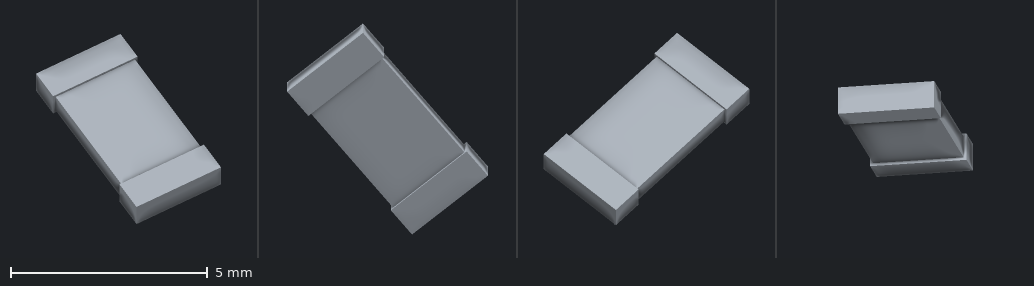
import cadquery as cq

length = 5.0
width = 2.5
height = 0.71

terminal_length = 0.85
step = 0.075

body_length = length - 2 * terminal_length


def make_body():
    """Plain block that fills the space between the terminals."""
    return cq.Workplane("XY").box(body_length, width - 2 * step, height - 2 * step)


def make_terminal(side):
    """Block against one end of the body; side is -1 for -X and +1 for +X."""
    center_x = side * (length - terminal_length) / 2
    return cq.Workplane("XY").box(terminal_length, width, height).translate((center_x, 0, 0))


body = make_body()
terminals = [make_terminal(side) for side in (-1, 1)]

result = cq.Compound.makeCompound([body.val(), *[terminal.val() for terminal in terminals]])